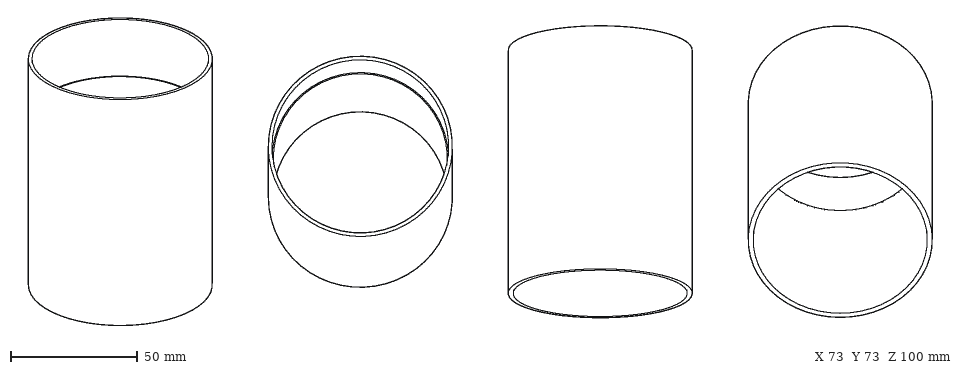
import cadquery as cq

length = 100.0
outer_diameter = 73.0
bore_diameter = 69.0
upper_bore_diameter = 70.0
upper_bore_depth = 25.0

tube = (
    cq.Workplane("XY")
    .circle(outer_diameter / 2)
    .circle(bore_diameter / 2)
    .extrude(length)
)

upper_bore = (
    cq.Workplane("XY", origin=(0, 0, length))
    .circle(upper_bore_diameter / 2)
    .extrude(-upper_bore_depth)
)

result = tube.cut(upper_bore)